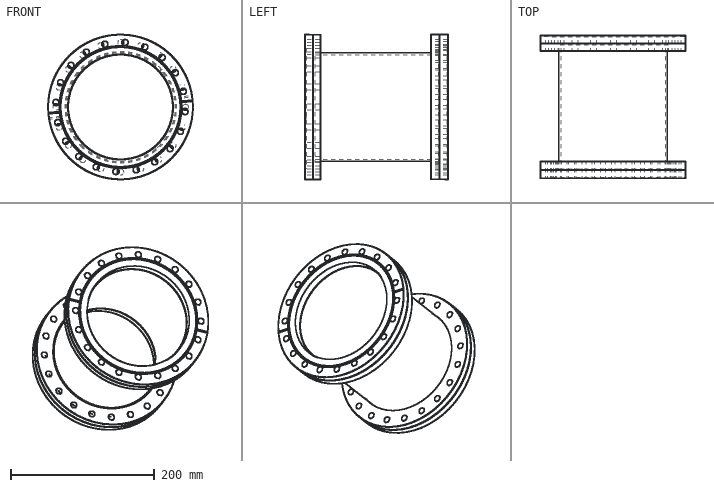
import cadquery as cq
import math

overall_length = 200.0
flange_diameter = 203.0
fixed_thickness = 22.0
rotatable_thickness = 24.0

tube_outer_diameter = 152.4
tube_bore_diameter = 146.0
socket_diameter = 152.9
flange_bore_diameter = 147.6
tube_setback = 13.3

recess_diameter = 171.4
knife_diameter = 167.0
knife_setback = 0.7
knife_slope = math.radians(70.0)
knife_height = (recess_diameter - knife_diameter) / 2 / math.tan(knife_slope)
recess_depth = knife_setback + knife_height

insert_neck_diameter = 156.0
collar_back = 12.0

rim_chamfer = 0.5
rim_groove_width = 0.8
rim_groove_depth = 0.5

bolt_count = 20
bolt_pitch = 360.0 / bolt_count
bolt_diameter = 8.4
bolt_circle_diameter = 181.0
leak_groove_diameter = 1.9
leak_groove_axis_height = 0.1
leak_groove_overrun = 0.5
fixed_rotation = 9.0
rotatable_rotation = 4.9


def ring(outer_diameter, inner_diameter, start, end):
    """Ring along Z between two heights."""
    return (
        cq.Workplane("XY")
        .workplane(offset=start)
        .circle(outer_diameter / 2)
        .circle(inner_diameter / 2)
        .extrude(end - start)
    )


def flange_blank(thickness):
    """Chamfered disc with its sealing face at Z = 0 and a groove round the middle of its rim."""
    blank = cq.Workplane("XY").circle(flange_diameter / 2).extrude(thickness)
    blank = blank.edges().chamfer(rim_chamfer)
    groove = ring(
        flange_diameter + 2 * rim_groove_depth,
        flange_diameter - 2 * rim_groove_depth,
        (thickness - rim_groove_width) / 2,
        (thickness + rim_groove_width) / 2,
    )
    return blank.cut(groove)


def drill_and_groove(flange, thickness):
    """Cut the bolt holes and two round-bottomed leak-check grooves, on X midway between holes."""
    bolts = (
        cq.Workplane("XY")
        .polarArray(bolt_circle_diameter / 2, bolt_pitch / 2, 360, bolt_count)
        .circle(bolt_diameter / 2)
        .extrude(thickness)
    )
    groove_start = recess_diameter / 2 - leak_groove_overrun
    groove_length = flange_diameter / 2 + leak_groove_overrun - groove_start
    for side in (-1, 1):
        groove = (
            cq.Workplane("YZ")
            .workplane(offset=side * groove_start)
            .center(0, -leak_groove_axis_height)
            .circle(leak_groove_diameter / 2)
            .extrude(side * groove_length)
        )
        flange = flange.cut(groove)
    return flange.cut(bolts)


def seal_and_bore(body, back):
    """Cut the sealing recess, bore and tube socket of a body that ends at Z = back."""
    seal = (
        cq.Workplane("XZ")
        .polyline(
            [
                (0, 0),
                (recess_diameter / 2, 0),
                (recess_diameter / 2, recess_depth),
                (knife_diameter / 2, knife_setback),
                (0, knife_setback),
            ]
        )
        .close()
        .revolve(360, (0, 0, 0), (0, 1, 0))
    )
    bore = cq.Workplane("XY").circle(flange_bore_diameter / 2).extrude(back)
    socket = (
        cq.Workplane("XY")
        .workplane(offset=tube_setback)
        .circle(socket_diameter / 2)
        .extrude(back - tube_setback)
    )
    return body.cut(seal).cut(bore).cut(socket)


def make_fixed_flange():
    flange = seal_and_bore(flange_blank(fixed_thickness), fixed_thickness)
    return drill_and_groove(flange, fixed_thickness)


def make_rotatable_ring():
    collar_seat = cq.Workplane("XY").circle(recess_diameter / 2).extrude(collar_back)
    neck_hole = cq.Workplane("XY").circle(insert_neck_diameter / 2).extrude(rotatable_thickness)
    flange = flange_blank(rotatable_thickness).cut(collar_seat).cut(neck_hole)
    return drill_and_groove(flange, rotatable_thickness)


def make_weld_insert():
    collar = cq.Workplane("XY").circle(recess_diameter / 2).extrude(collar_back)
    neck = cq.Workplane("XY").circle(insert_neck_diameter / 2).extrude(rotatable_thickness)
    return seal_and_bore(collar.union(neck), rotatable_thickness)


def place_front(body):
    """Turn the sealing face to -Y at the front end."""
    return body.rotate((0, 0, 0), (1, 0, 0), -90).translate((0, -overall_length / 2, 0))


def place_rear(body):
    """Turn the sealing face to +Y at the rear end."""
    return body.rotate((0, 0, 0), (1, 0, 0), 90).translate((0, overall_length / 2, 0))


tube_end = overall_length / 2 - tube_setback
tube = ring(tube_outer_diameter, tube_bore_diameter, -tube_end, tube_end).rotate((0, 0, 0), (1, 0, 0), 90)
fixed_flange = place_rear(make_fixed_flange()).rotate((0, 0, 0), (0, 1, 0), -fixed_rotation)
rotatable_ring = place_front(make_rotatable_ring()).rotate((0, 0, 0), (0, 1, 0), -rotatable_rotation)
weld_insert = place_front(make_weld_insert())

result = cq.Compound.makeCompound(
    [tube.val(), fixed_flange.val(), rotatable_ring.val(), weld_insert.val()]
)